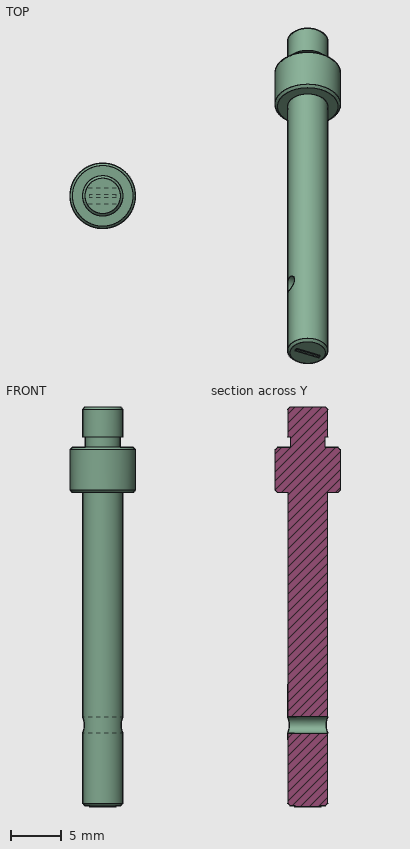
import cadquery as cq

pin_diameter = 4.0
collar_diameter = 6.5
neck_diameter = 3.5
cross_hole_diameter = 1.6

shank_length = 31.0
collar_length = 4.5
neck_length = 1.0
head_length = 3.0
edge_chamfer = 0.25
cross_hole_height = 8.0

bar_length = 2.6
bar_width = 0.3
bar_height = 0.1

collar_bottom = shank_length
collar_top = collar_bottom + collar_length
head_bottom = collar_top + neck_length
head_top = head_bottom + head_length

pin_radius = pin_diameter / 2
collar_radius = collar_diameter / 2
neck_radius = neck_diameter / 2
pin_face_radius = pin_radius - edge_chamfer
collar_face_radius = collar_radius - edge_chamfer


def turned_body():
    """Shank, collar, neck and head as one revolved profile, chamfered at the outer edges."""
    profile = (
        cq.Workplane("XZ")
        .lineTo(pin_face_radius, 0)
        .lineTo(pin_radius, edge_chamfer)
        .lineTo(pin_radius, collar_bottom)
        .lineTo(collar_face_radius, collar_bottom)
        .lineTo(collar_radius, collar_bottom + edge_chamfer)
        .lineTo(collar_radius, collar_top - edge_chamfer)
        .lineTo(collar_face_radius, collar_top)
        .lineTo(neck_radius, collar_top)
        .lineTo(neck_radius, head_bottom)
        .lineTo(pin_radius, head_bottom)
        .lineTo(pin_radius, head_top - edge_chamfer)
        .lineTo(pin_face_radius, head_top)
        .lineTo(0, head_top)
        .close()
    )
    return profile.revolve(360, (0, 0, 0), (0, 1, 0))


def end_bar():
    """Raised bar standing on the shank end face."""
    return cq.Workplane("XY").rect(bar_length, bar_width).extrude(-bar_height)


def cross_hole():
    """Hole along X, right through the shank."""
    return (
        cq.Workplane("YZ")
        .center(0, cross_hole_height)
        .circle(cross_hole_diameter / 2)
        .extrude(pin_diameter, both=True)
    )


result = turned_body().union(end_bar()).cut(cross_hole())